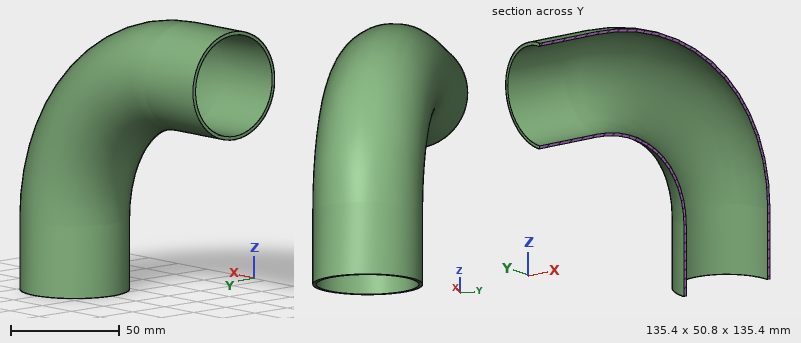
import cadquery as cq

overall_size = 135.4
outer_diameter = 50.8
inner_diameter = 47.5
straight_length = 33.7
bend_angle = 90

bend_radius = overall_size - straight_length - outer_diameter / 2


def ring(plane):
    """Pipe cross-section, centred on the origin of the plane."""
    return cq.Workplane(plane).circle(outer_diameter / 2).circle(inner_diameter / 2)


inlet = ring("YZ").extrude(-straight_length)

bend = ring("YZ").revolve(bend_angle, (0, -bend_radius, 0), (1, -bend_radius, 0))

outlet_plane = cq.Plane(origin=(bend_radius, 0, -bend_radius), xDir=(1, 0, 0), normal=(0, 0, -1))
outlet = ring(outlet_plane).extrude(straight_length)

result = inlet.union(bend).union(outlet)